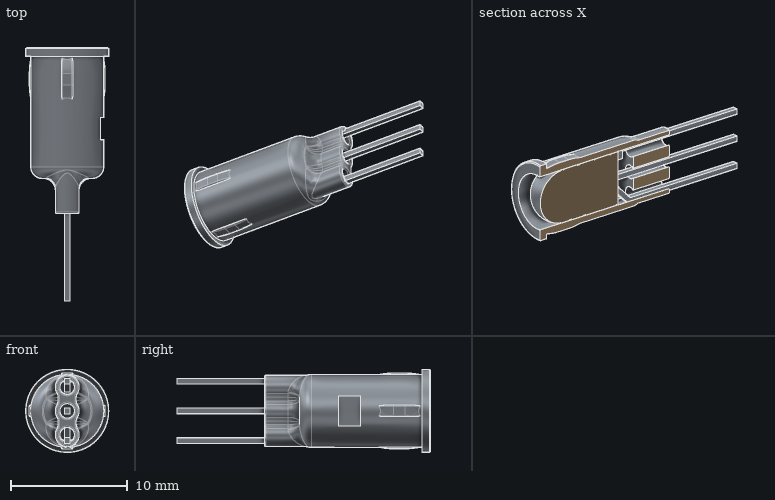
import cadquery as cq
import math


total_length = 21.69

flange_radius = 7.11 / 2
flange_thickness = 0.75
flange_edge_chamfer = 0.1
body_radius = 3.13
body_length = 11.2
body_end_fillet = 1.0

exposed_lead_length = 7.5
housing_length = total_length - exposed_lead_length
sleeve_radius = 1.02
sleeve_pitch = 2.04
web_half_thickness = 0.77
web_corner_radius = 0.6
sleeve_root_fillet = 1.0
sleeve_tip_fillet = 0.12
sleeve_hole_radius = 0.62
sleeve_hole_lead_in = 0.13

rib_count = 4
rib_width = 0.97
rib_height = 0.12
rib_end_drop = 0.03
rib_start = 0.88
rib_crest_start = 2.2
rib_crest_end = 3.18
rib_end = 4.42
rib_edge_fillet = 0.1
rib_root_depth = 0.4

notch_start = 5.98
notch_end = 7.88
notch_floor_x = 2.85

lamp_radius = 2.5
lamp_length = 8.6
end_wall_thickness = 1.0
cavity_end = body_length - end_wall_thickness
lead_size = 0.5
lead_pitch = 2.54
lower_lead_root_z = -1.27
upper_lead_root_z = 1.86
lamp_to_bend_gap = 0.1
bend_start = lamp_length + lamp_to_bend_gap
bend_angle = 45

margin = 0.01

sleeve_centres = [-sleeve_pitch, 0, sleeve_pitch]


def rod(radius, start, length):
    """Cylinder on the axis, from depth start towards -Y."""
    return cq.Workplane("XZ", origin=(0, -start, 0)).circle(radius).extrude(length)


def make_shell():
    body = rod(body_radius, 0, body_length).faces("<Y").edges().fillet(body_end_fillet)
    flange = rod(flange_radius, 0, flange_thickness).faces(">Y").edges().chamfer(flange_edge_chamfer)
    return body.union(flange)


def make_sleeves():
    """Three sleeves with webs between them, blended by concave corners."""
    start = cavity_end
    length = housing_length - start
    block = cq.Workplane("XZ", origin=(0, -start, 0)).rect(
        2 * web_half_thickness, 2 * sleeve_pitch).extrude(length)
    for z in sleeve_centres:
        block = block.union(
            cq.Workplane("XZ", origin=(0, -start, z)).circle(sleeve_radius).extrude(length))
    inner_corners = cq.selectors.BoxSelector(
        (-sleeve_radius, -housing_length, -sleeve_pitch),
        (sleeve_radius, 0, sleeve_pitch))
    return block.edges("|Y").edges(inner_corners).fillet(web_corner_radius)


def make_rib():
    """Crush rib on the +Z side: a flat crest that curves down into the body at both ends."""
    root = body_radius - rib_root_depth
    low = body_radius - rib_end_drop
    crest = body_radius + rib_height
    drop = crest - low
    start_run = rib_crest_start - rib_start
    end_run = rib_end - rib_crest_end
    start_arc_radius = (start_run**2 + drop**2) / (2 * drop)
    end_arc_radius = (end_run**2 + drop**2) / (2 * drop)
    rib = (
        cq.Workplane("YZ")
        .moveTo(-rib_crest_start, crest)
        .lineTo(-rib_crest_end, crest)
        .radiusArc((-rib_end, low), -end_arc_radius)
        .lineTo(-rib_end, root)
        .lineTo(-rib_start, root)
        .lineTo(-rib_start, low)
        .radiusArc((-rib_crest_start, crest), -start_arc_radius)
        .close()
        .extrude(rib_width / 2, both=True)
    )
    return rib.faces(">X or <X").edges(">Z").fillet(rib_edge_fillet)


def make_lamp():
    """Round-nosed lamp with its three leads, as one solid."""
    barrel = rod(lamp_radius, lamp_radius, lamp_length - lamp_radius)
    nose = cq.Workplane("XY").sphere(lamp_radius).translate((0, -lamp_radius, 0))
    lamp = barrel.union(nose)
    half = lead_size / 2
    lead_root = lamp_length - lead_size
    bend_end = bend_start + (lead_pitch + lower_lead_root_z) / math.tan(math.radians(bend_angle))
    miter = half * math.tan(math.radians(bend_angle / 2))
    middle = [
        (-lead_root, half),
        (-total_length, half),
        (-total_length, -half),
        (-lead_root, -half),
    ]
    lower = [
        (-lead_root, lower_lead_root_z + half),
        (-bend_start - miter, lower_lead_root_z + half),
        (-bend_end - miter, -lead_pitch + half),
        (-total_length, -lead_pitch + half),
        (-total_length, -lead_pitch - half),
        (-bend_end + miter, -lead_pitch - half),
        (-bend_start + miter, lower_lead_root_z - half),
        (-lead_root, lower_lead_root_z - half),
    ]
    step = bend_start + lead_size
    upper = [
        (-lead_root, upper_lead_root_z - half),
        (-step, upper_lead_root_z - half),
        (-step, lead_pitch - half),
        (-total_length, lead_pitch - half),
        (-total_length, lead_pitch + half),
        (-bend_start, lead_pitch + half),
        (-bend_start, upper_lead_root_z + half),
        (-lead_root, upper_lead_root_z + half),
    ]
    for outline in (lower, middle, upper):
        lead = cq.Workplane("YZ").polyline(outline).close().extrude(half, both=True)
        lamp = lamp.union(lead)
    return lamp


def blend_sleeve_roots(shell):
    """Concave fillet where the sleeves leave the rounded end of the body."""
    root_edges = cq.selectors.BoxSelector(
        (-sleeve_radius - margin, -body_length - margin, -body_radius),
        (sleeve_radius + margin, -body_length + body_end_fillet / 2, body_radius))
    return shell.edges(root_edges).fillet(sleeve_root_fillet)


def make_housing(lamp):
    housing = blend_sleeve_roots(make_shell().union(make_sleeves()))
    housing = housing.faces("<Y").edges().fillet(sleeve_tip_fillet)

    housing = housing.cut(rod(lamp_radius, 0, cavity_end))

    hole_length = housing_length - lamp_length
    for z in sleeve_centres:
        hole = cq.Workplane("XZ", origin=(0, -lamp_length, z)).circle(sleeve_hole_radius).extrude(hole_length)
        housing = housing.cut(hole)
    mouths = cq.selectors.BoxSelector(
        (-margin, -housing_length - margin, -sleeve_pitch - margin),
        (margin, -housing_length + margin, sleeve_pitch + margin))
    housing = housing.edges("%CIRCLE").edges(mouths).fillet(sleeve_hole_lead_in)

    notch = cq.Workplane("XY").box(
        body_radius, notch_end - notch_start, 2 * body_radius, centered=(False, False, True)
    ).translate((notch_floor_x, -notch_end, 0))
    housing = housing.cut(notch)

    for index in range(rib_count):
        angle = index * 360 / rib_count
        housing = housing.union(make_rib().rotate((0, 0, 0), (0, 1, 0), angle))

    return housing.cut(lamp)


lamp = make_lamp()
housing = make_housing(lamp)
result = cq.Compound.makeCompound([housing.val(), lamp.val()])